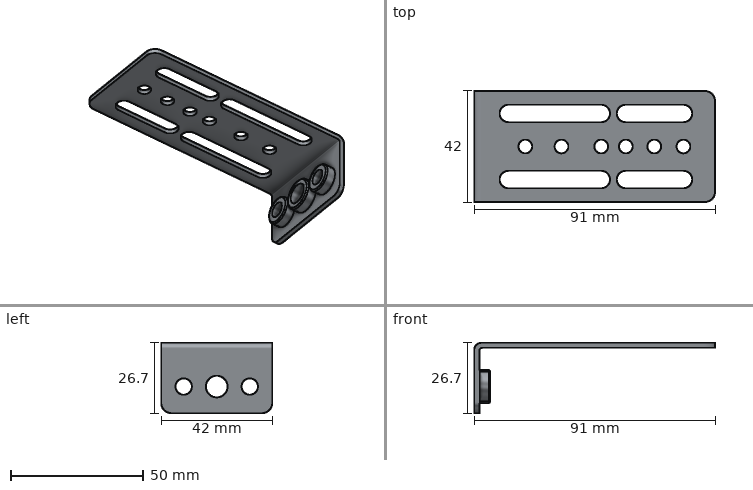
import cadquery as cq

length = 91.0
width = 42.0
height = 26.7
thickness = 2.0
bend_run = 2.7
bend_drop = 2.2
bend_outer_radius = (bend_run**2 + bend_drop**2) / (2 * bend_drop)
bend_inner_radius = 1.0
corner_radius = 4.0

row_offset = 12.5
slot_width = 6.5
slot_spans = [(9.65, 51.2), (53.9, 82.3)]
plate_hole_diameter = 5.1
plate_hole_positions = [19.3, 32.9, 48.0, 57.2, 68.0, 79.0]

boss_end = 6.1
boss_chamfer = 0.55
boss_axis_height = 10.1
center_boss_diameter = 12.65
center_bore_diameter = 8.1
side_boss_diameter = 11.2
side_bore_diameter = 6.1


def bent_sheet():
    """L-shaped sheet with a rounded bend and rounded free corners."""
    sheet = (
        cq.Workplane("XZ", origin=(0, width / 2, 0))
        .lineTo(0, height - bend_drop)
        .radiusArc((bend_run, height), bend_outer_radius)
        .lineTo(length, height)
        .lineTo(length, height - thickness)
        .lineTo(thickness + bend_inner_radius, height - thickness)
        .radiusArc((thickness, height - thickness - bend_inner_radius), -bend_inner_radius)
        .lineTo(thickness, 0)
        .close()
        .extrude(width)
    )
    sheet = sheet.edges("|Z and >X").fillet(corner_radius)
    return sheet.edges("|X and <Z").fillet(corner_radius)


def leg_cylinder(diameter, y, start, end):
    """Cylinder along X, centred on the boss axis height."""
    return (
        cq.Workplane("YZ", origin=(start, y, boss_axis_height))
        .circle(diameter / 2)
        .extrude(end - start)
    )


def plate_slots():
    """Two rows of round-ended slots through the long leg."""
    slots = cq.Workplane("XY")
    for start, end in slot_spans:
        slots = slots.union(
            cq.Workplane("XY")
            .pushPoints([((start + end) / 2, y) for y in (-row_offset, row_offset)])
            .slot2D(end - start, slot_width)
            .extrude(height)
        )
    return slots


def plate_holes():
    """Row of round holes along the centre of the long leg."""
    return (
        cq.Workplane("XY")
        .pushPoints([(x, 0) for x in plate_hole_positions])
        .circle(plate_hole_diameter / 2)
        .extrude(height)
    )


result = bent_sheet().cut(plate_slots()).cut(plate_holes())

bosses = [
    (-row_offset, side_boss_diameter, side_bore_diameter),
    (0, center_boss_diameter, center_bore_diameter),
    (row_offset, side_boss_diameter, side_bore_diameter),
]
for y, boss_diameter, bore_diameter in bosses:
    boss = leg_cylinder(boss_diameter, y, thickness / 2, boss_end)
    boss = boss.faces(">X").edges().chamfer(boss_chamfer)
    result = result.union(boss)
    result = result.cut(leg_cylinder(bore_diameter, y, 0, boss_end))